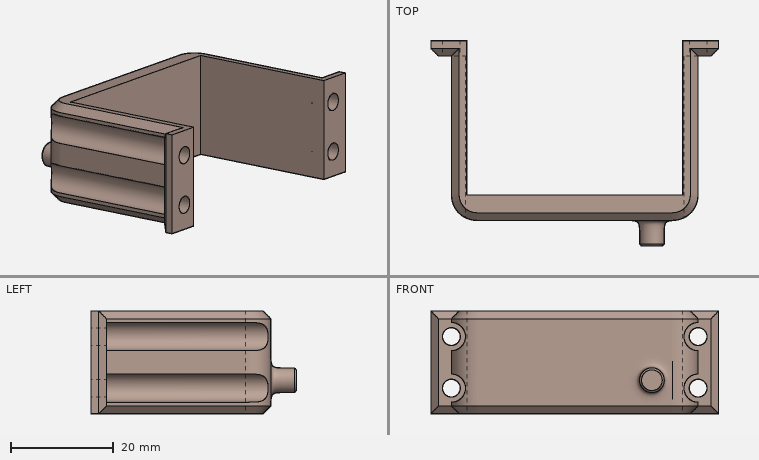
import cadquery as cq

total_width = 56.0
total_depth = 40.0
height = 20.0
body_width = 48.0
inner_width = 42.0
body_depth = 35.0
base_thickness = 5.0
flange_thickness = 3.0
corner_radius = 5.0
edge_chamfer = 1.5

hole_diameter = 3.4
hole_spacing = 10.0
groove_radius = 2.75

pin_diameter = 4.8
pin_x = 15.0
pin_z = -3.5
pin_tip_chamfer = 0.4
flare_size = 3.0
root_overlap = 1.0

half_body = body_width / 2
half_inner = inner_width / 2
half_height = height / 2
flange_front_y = body_depth - flange_thickness
pin_length = total_depth - body_depth
pin_radius = pin_diameter / 2


def is_chamfered(edge):
    """Pick the outer rim of the top and bottom faces and the outer front edges of the flanges."""
    center = edge.Center()
    tolerance = 0.005
    on_rim = abs(abs(center.z) - half_height) < tolerance
    on_flange_end = abs(abs(center.x) - total_width / 2) < tolerance
    on_flange_front = abs(center.y - flange_front_y) < tolerance
    on_back = abs(center.y - body_depth) < tolerance
    on_inside = (abs(center.x) < half_inner + tolerance
                 and center.y > base_thickness - tolerance)
    rim_edge = on_rim and not (on_flange_end or on_back or on_inside)
    return rim_edge or (on_flange_end and on_flange_front)


def make_bracket():
    """U-shaped channel with outward flanges and a chamfered outer rim."""
    body = cq.Workplane("XY").box(body_width, body_depth, height, centered=(True, False, True))
    flanges = (
        cq.Workplane("XY")
        .workplane(offset=-half_height)
        .center(0, (flange_front_y + body_depth) / 2)
        .rect(total_width, flange_thickness)
        .extrude(height)
    )
    opening = (
        cq.Workplane("XY")
        .box(inner_width, body_depth, height, centered=(True, False, True))
        .translate((0, base_thickness, 0))
    )
    bracket = body.edges("|Z and <Y").fillet(corner_radius).union(flanges).cut(opening)
    rim = [edge for edge in bracket.edges().vals() if is_chamfered(edge)]
    return bracket.newObject(rim).chamfer(edge_chamfer)


def cylinder_along_y(radius, x, z, start_y, end_y):
    axis_start = cq.Vector(x, start_y, z)
    return cq.Workplane(cq.Solid.makeCylinder(radius, end_y - start_y, axis_start, cq.Vector(0, 1, 0)))


def cut_mounting_holes(bracket):
    """Drill each flange on the leg's outer face and groove the leg in front of each hole."""
    for x in (-half_body, half_body):
        for z in (-hole_spacing / 2, hole_spacing / 2):
            groove = cylinder_along_y(groove_radius, x, z, 0, flange_front_y)
            hole = cylinder_along_y(hole_diameter / 2, x, z, 0, body_depth)
            bracket = bracket.cut(groove).cut(hole)
    return bracket


def make_pin():
    """Revolved pin whose root flares tangentially into the front face."""
    flare_radius = pin_radius + flare_size
    flare_corner = (pin_radius, 0)
    pin = (
        cq.Workplane("XY")
        .moveTo(0, root_overlap)
        .lineTo(flare_radius, root_overlap)
        .lineTo(flare_radius, 0)
        .bezier([(flare_radius, 0), flare_corner, flare_corner, (pin_radius, -flare_size)])
        .lineTo(pin_radius, -pin_length + pin_tip_chamfer)
        .lineTo(pin_radius - pin_tip_chamfer, -pin_length)
        .lineTo(0, -pin_length)
        .close()
        .revolve(360, (0, 0, 0), (0, 1, 0))
        .translate((pin_x, 0, pin_z))
    )
    flat_front = cq.Workplane("XY").box(
        body_width - 2 * corner_radius,
        2 * pin_length,
        height - 2 * edge_chamfer,
    )
    return pin.intersect(flat_front)


result = cut_mounting_holes(make_bracket()).union(make_pin())